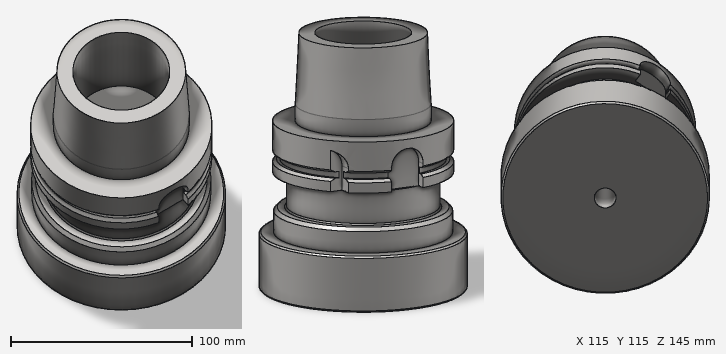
import cadquery as cq

total_height = 145.0
base_top = 31.9
collar_top = 46.1
flange_bottom = 66.1
groove_bottom = 73.4
groove_top = 77.0
flange_top = 95.1
taper_start = 104.8

base_diameter = 115.0
base_radius = base_diameter / 2
collar_radius = 49.5
neck_radius = 42.5
flange_radius = 50.0
groove_radius = 46.0
spigot_radius = 37.5
spigot_tip_radius = 35.5

base_chamfer = 1.0
collar_chamfer = 2.0
neck_corner = 0.9
groove_chamfer_height = 1.5
groove_chamfer_width = 2.2

bore_radius = 26.7
bore_floor = flange_top
hole_radius = 6.0

notch_radius = 10.0
notch_top = 89.9
notch_floor_distance = 44.1
side_notch_offset = 31.6


def turned_body():
    """Revolve the stepped outer profile about the Z axis."""
    profile = [
        (0, 0),
        (base_radius - base_chamfer, 0),
        (base_radius, base_chamfer),
        (base_radius, base_top - base_chamfer),
        (base_radius - base_chamfer, base_top),
        (collar_radius, base_top),
        (collar_radius, collar_top - collar_chamfer),
        (collar_radius - collar_chamfer, collar_top),
        (neck_radius + neck_corner, collar_top),
        (neck_radius, collar_top + neck_corner),
        (neck_radius, flange_bottom - neck_corner),
        (neck_radius + neck_corner, flange_bottom),
        (flange_radius, flange_bottom),
        (flange_radius, groove_bottom - groove_chamfer_height),
        (flange_radius - groove_chamfer_width, groove_bottom),
        (groove_radius, groove_bottom),
        (groove_radius, groove_top),
        (flange_radius - groove_chamfer_width, groove_top),
        (flange_radius, groove_top + groove_chamfer_height),
        (flange_radius, flange_top),
        (spigot_radius, flange_top),
        (spigot_radius, taper_start),
        (spigot_tip_radius, total_height),
        (0, total_height),
    ]
    return cq.Workplane("XZ").polyline(profile).close().revolve(360, (0, 0), (0, 1))


def arched_cutter(center_y, floor_distance):
    """Round-topped cutter that removes flange material beyond X = -floor_distance."""
    arch_height = notch_top - notch_radius - flange_bottom
    return (
        cq.Workplane("YZ", origin=(-floor_distance, center_y, flange_bottom))
        .moveTo(-notch_radius, 0)
        .lineTo(notch_radius, 0)
        .lineTo(notch_radius, arch_height)
        .threePointArc((0, arch_height + notch_radius), (-notch_radius, arch_height))
        .close()
        .extrude(-flange_radius)
    )


result = turned_body()

bore = cq.Workplane("XY", origin=(0, 0, bore_floor)).circle(bore_radius)
bore = bore.extrude(total_height - bore_floor)
through_hole = cq.Workplane("XY").circle(hole_radius).extrude(total_height)
result = result.cut(bore).cut(through_hole)

drive_notch = arched_cutter(0, notch_floor_distance)
for angle in (0, 180):
    result = result.cut(drive_notch.rotate((0, 0, 0), (0, 0, 1), angle))

result = result.cut(arched_cutter(side_notch_offset + notch_radius, side_notch_offset))